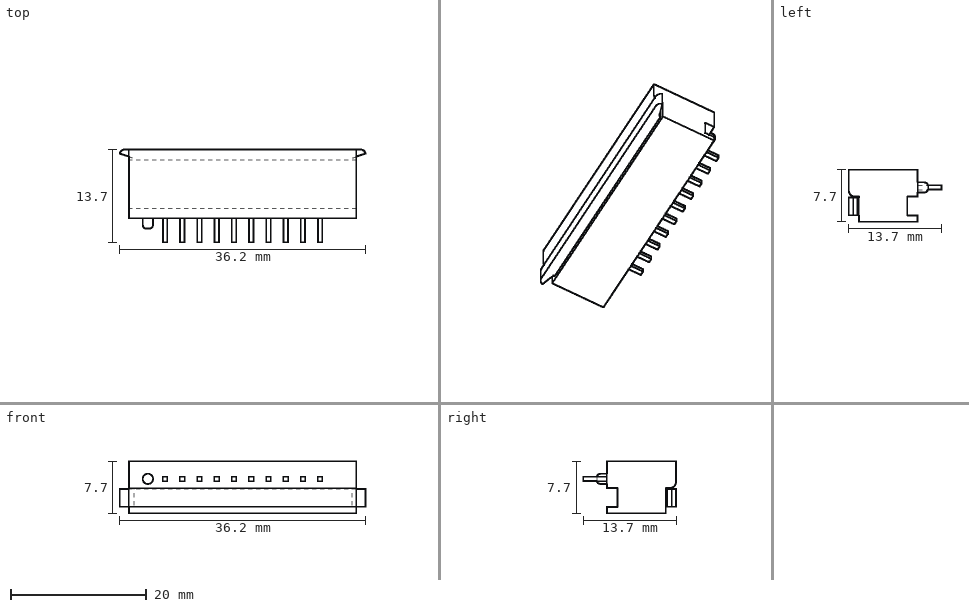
import cadquery as cq
import math

overall_length = 36.25
housing_length = 33.5
housing_depth = 10.2
housing_height = 7.7
front_slot_depth = 1.52
front_slot_bottom = 0.95
ledge_height = 3.7
rear_step_depth = 1.52
rear_edge_radius = 0.95

pin_count = 10
pin_pitch = 2.55
pin_width = 0.7
pin_length = 3.5
pin_height = 5.08

peg_diameter = 1.52
peg_length = 1.52
peg_tip_radius = 0.55

latch_top = 3.6
latch_tip_radius = 0.87
latch_tip_offset = 0.65
latch_foot_offset = 1.3
latch_foot_inset = 0.7

first_pin_x = -pin_pitch * (pin_count - 1) / 2


def make_housing():
    """Constant section with a front slot and a step under the rear edge."""
    rear_wall = housing_depth - rear_step_depth
    section = [
        (0, 0),
        (rear_wall, 0),
        (rear_wall, ledge_height),
        (housing_depth, ledge_height),
        (housing_depth, housing_height),
        (0, housing_height),
        (0, ledge_height),
        (front_slot_depth, ledge_height),
        (front_slot_depth, front_slot_bottom),
        (0, front_slot_bottom),
    ]
    housing = cq.Workplane("YZ").polyline(section).close().extrude(housing_length / 2, both=True)
    rear_ledge_edge = cq.selectors.NearestToPointSelector((0, housing_depth, ledge_height))
    return housing.edges(rear_ledge_edge).fillet(rear_edge_radius)


def make_latch_bar():
    """Bar filling the rear step, with its hooked ends beyond the housing."""
    tip_x = overall_length / 2
    tip_y = housing_depth - latch_tip_offset
    arc_run = math.sqrt(latch_tip_radius**2 - (latch_tip_radius - latch_tip_offset) ** 2)
    arc_end_x = tip_x - arc_run
    foot_x = housing_length / 2 - latch_foot_inset
    foot_y = housing_depth - latch_foot_offset
    rear_wall = housing_depth - rear_step_depth
    return (
        cq.Workplane("XY", origin=(0, 0, front_slot_bottom))
        .moveTo(-foot_x, rear_wall)
        .lineTo(foot_x, rear_wall)
        .lineTo(foot_x, foot_y)
        .lineTo(tip_x, tip_y)
        .radiusArc((arc_end_x, housing_depth), -latch_tip_radius)
        .lineTo(-arc_end_x, housing_depth)
        .radiusArc((-tip_x, tip_y), -latch_tip_radius)
        .lineTo(-foot_x, foot_y)
        .close()
        .extrude(latch_top - front_slot_bottom)
    )


def make_peg():
    """Round peg with a rounded tip, standing out of the front face."""
    peg_x = first_pin_x - pin_pitch
    return (
        cq.Workplane("XZ", origin=(peg_x, 0, pin_height))
        .circle(peg_diameter / 2)
        .extrude(peg_length)
        .faces("<Y")
        .edges()
        .fillet(peg_tip_radius)
    )


def make_pins():
    """Row of square pins standing out of the front face."""
    return (
        cq.Workplane("XZ", origin=(0, 0, pin_height))
        .rarray(pin_pitch, 0.35, pin_count, 1)
        .rect(pin_width, pin_width)
        .extrude(pin_length)
    )


result = make_housing().union(make_latch_bar()).union(make_peg()).union(make_pins())